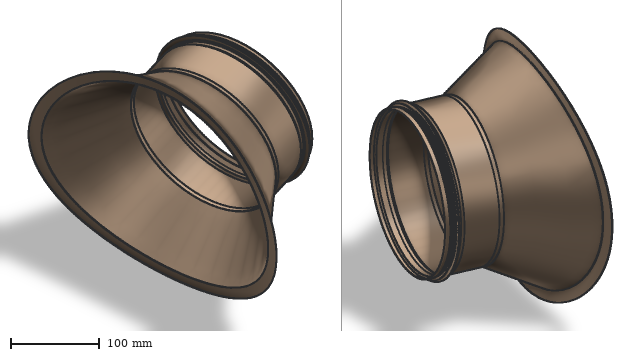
import cadquery as cq
import math

sheet = 0.5
spigot_radius = 99.5
spigot_length = 73.5
axis_direction = (0, 1, 0)

rim_round = 1.7
groove_radius = 97.0
groove_bend_start = 6.0
groove_floor_start = 8.0
groove_floor_end = 21.0
groove_bend_end = 24.0

gasket_start = 8.5
gasket_end = 16.2
gasket_body_radius = 98.5
lip_thickness = 1.0
short_lip_radius = 102.0
short_lip_position = 9.8
long_lip_radius = 209.3 / 2
long_lip_position = 14.2

neck_overlap = 5.5
neck_radius = spigot_radius - sheet
cone_half_angle = math.radians(30)
cone_trim = 10.0
flange_sheet = 1.0
flange_half_width = 169.0
flange_half_height = 155.2
overall_length = 175.5
saddle_crown = 148.0
saddle_sag = overall_length - saddle_crown
saddle_radius = (flange_half_width**2 + saddle_sag**2) / (2 * saddle_sag)
saddle_axis_y = -saddle_crown - saddle_radius


def revolve_profile(sketch):
    """Revolve a closed XY profile a full turn around the duct axis."""
    return sketch.close().revolve(360, (0, 0, 0), axis_direction)


def make_spigot():
    """Thin tube with a rounded rim and a rolled groove that seats the gasket."""
    inner_radius = spigot_radius - sheet
    inner_round = rim_round - sheet
    diagonal = math.sqrt(0.5)
    arc_centre = spigot_radius - rim_round
    profile = (
        cq.Workplane("XY")
        .moveTo(arc_centre, 0)
        .threePointArc(
            (arc_centre + rim_round * diagonal, rim_round * (diagonal - 1)),
            (spigot_radius, -rim_round),
        )
        .lineTo(spigot_radius, -groove_bend_start)
        .lineTo(groove_radius, -groove_floor_start)
        .lineTo(groove_radius, -groove_floor_end)
        .lineTo(spigot_radius, -groove_bend_end)
        .lineTo(spigot_radius, -spigot_length)
        .lineTo(inner_radius, -spigot_length)
        .lineTo(inner_radius, -groove_bend_end)
        .lineTo(groove_radius - sheet, -groove_floor_end)
        .lineTo(groove_radius - sheet, -groove_floor_start)
        .lineTo(inner_radius, -groove_bend_start)
        .lineTo(inner_radius, -rim_round)
        .threePointArc(
            (arc_centre + inner_round * diagonal, inner_round * diagonal - rim_round),
            (arc_centre, -sheet),
        )
    )
    return revolve_profile(profile)


def make_ring(start, end, outer_radius):
    """Ring around the duct axis, seated on the groove floor."""
    ring = cq.Workplane("XZ", origin=(0, -start, 0)).circle(outer_radius).circle(groove_radius)
    return ring.extrude(end - start)


def make_gasket():
    """Rubber ring with two sealing lips of different height."""
    gasket = make_ring(gasket_start, gasket_end, gasket_body_radius)
    for position, radius in ((short_lip_position, short_lip_radius), (long_lip_position, long_lip_radius)):
        gasket = gasket.union(make_ring(position, position + lip_thickness, radius))
    return gasket


def saddle_cylinder(radius):
    """Solid cylinder along Z whose crown meets the duct."""
    cylinder = cq.Workplane("XY", origin=(0, saddle_axis_y, 0)).circle(radius)
    return cylinder.extrude(2 * flange_half_width, both=True)


def cone_radius(distance):
    """Outside radius of the cone at a distance from the spigot end."""
    return neck_radius + (distance - spigot_length) * math.tan(cone_half_angle)


def make_saddle_cone():
    """Neck and cone of sheet metal, trimmed by the saddle and edged with its flange."""
    cone_end = overall_length + cone_trim
    end_radius = cone_radius(cone_end)
    wall = sheet / math.cos(cone_half_angle)
    neck_start = spigot_length - neck_overlap
    inner_bend = spigot_length + sheet * math.tan(cone_half_angle / 2)

    def cone_profile(bore):
        """Half profile of the neck and cone, as a bore or as the outside."""
        return (
            cq.Workplane("XY")
            .moveTo(0, -neck_start)
            .lineTo(neck_radius - (sheet if bore else 0), -neck_start)
            .lineTo(neck_radius - (sheet if bore else 0), -(inner_bend if bore else spigot_length))
            .lineTo(end_radius - (wall if bore else 0), -cone_end)
            .lineTo(0, -cone_end)
        )

    outside = revolve_profile(cone_profile(bore=False))
    bore = revolve_profile(cone_profile(bore=True))
    block_size = 3 * flange_half_width
    saddle_exterior = (
        cq.Workplane("XY", origin=(0, -block_size / 2, 0))
        .box(block_size, block_size, block_size)
        .cut(saddle_cylinder(saddle_radius))
    )
    flange = (
        cq.Workplane("XZ", origin=(0, -spigot_length, 0))
        .ellipse(flange_half_width, flange_half_height)
        .extrude(overall_length)
        .intersect(saddle_cylinder(saddle_radius + flange_sheet))
        .intersect(saddle_exterior)
        .cut(bore)
    )
    cone = outside.intersect(saddle_exterior).cut(bore)
    return cone.union(flange)


spigot = make_spigot()
gasket = make_gasket()
saddle_cone = make_saddle_cone()

result = cq.Compound.makeCompound([spigot.val(), gasket.val(), saddle_cone.val()])